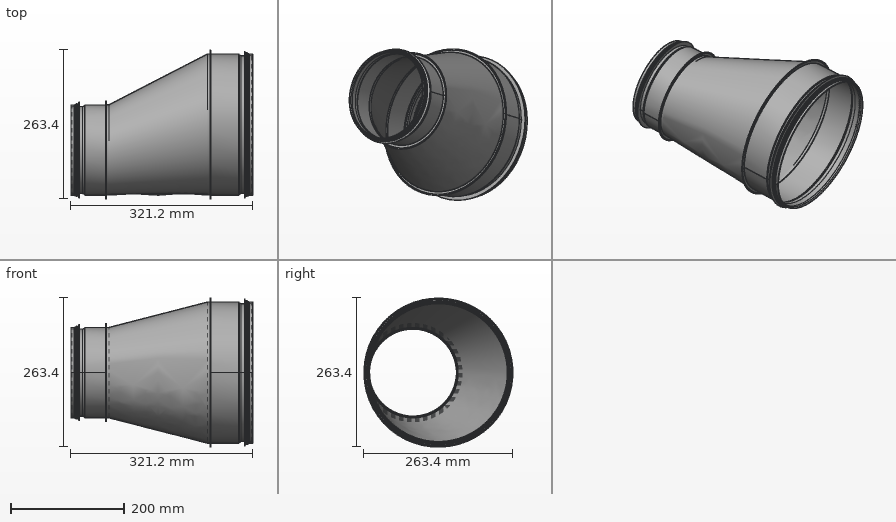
import cadquery as cq

LENGTH = 321.2
SMALL_JOINT_X = 62.0
LARGE_JOINT_X = 246.7

SMALL_RADIUS = 80.0
LARGE_RADIUS = 125.0
SMALL_AXIS_Y = SMALL_RADIUS - LARGE_RADIUS
SHEET = 0.48

FLANGE_HEIGHT = 6.7
HEM_HEIGHT = 4.2
HEM_CHAMFER = 0.3
CONE_STUB = 5.0

RIM_LENGTH = 5.8
RIM_THICKNESS = 3.0
RIM_CHAMFER = 0.5
LEAD_IN_LENGTH = 2.2
LEAD_IN_DEPTH = 1.3
TAPER_END = 8.5
GROOVE_DEPTH = 3.0
GROOVE_END = 21.0
BEND_X = 23.8
BEND_DEPTH = 1.5
WALL_START = 25.0
SLIT_ANGLE = 0.1

SHOULDER_DEPTH = 1.0
BASE_START = 7.7
BASE_HEIGHT = 1.0
GASKET_END = 15.0
LOW_LIP_HEIGHT = 2.2
LOW_LIP_START = 9.0
LOW_LIP_END = 11.0
HIGH_LIP_HEIGHT = 4.65
HIGH_LIP_START = 12.5
LIP_TIP = 1.0


def ring(profile, axis_y, end_x, inward, gap_angle=0):
    """Revolve (distance from the open end, radius) points about a pipe axis parallel to X.

    A gap angle leaves the ring open, with the gap centred on its -Y side.
    """
    points = [(end_x + inward * distance, axis_y - radius) for distance, radius in profile]
    axis_start = (0, axis_y, 0)
    axis_end = (1, axis_y, 0)
    body = cq.Workplane("XY").polyline(points).close().revolve(360 - gap_angle, axis_start, axis_end)
    return body.rotate(axis_start, axis_end, gap_angle / 2)


def make_collar(pipe_radius, joint, axis_y, end_x, inward):
    """Sheet collar with a folded rim, a gasket groove, a hemmed joint flange and a butt seam."""
    inner = pipe_radius - SHEET
    groove = pipe_radius - GROOVE_DEPTH
    rim_inner = pipe_radius - RIM_THICKNESS
    bend = pipe_radius - BEND_DEPTH
    flange = pipe_radius + FLANGE_HEIGHT
    hem_edge = pipe_radius + HEM_HEIGHT
    flange_face = joint - SHEET
    hem_inner_face = joint + SHEET
    hem_face = hem_inner_face + SHEET
    profile = [
        (0, rim_inner + LEAD_IN_DEPTH),
        (0, pipe_radius - RIM_CHAMFER),
        (RIM_CHAMFER, pipe_radius),
        (RIM_LENGTH, pipe_radius),
        (RIM_LENGTH, groove),
        (GROOVE_END, groove),
        (BEND_X, bend),
        (WALL_START, pipe_radius),
        (flange_face, pipe_radius),
        (flange_face, flange - HEM_CHAMFER),
        (flange_face + HEM_CHAMFER, flange),
        (hem_face - HEM_CHAMFER, flange),
        (hem_face, flange - HEM_CHAMFER),
        (hem_face, hem_edge),
        (hem_inner_face, hem_edge),
        (hem_inner_face, flange - SHEET),
        (joint, flange - SHEET),
        (joint, inner),
        (WALL_START, inner),
        (BEND_X, bend - SHEET),
        (GROOVE_END, groove - SHEET),
        (TAPER_END, groove - SHEET),
        (LEAD_IN_LENGTH, rim_inner),
    ]
    return ring(profile, axis_y, end_x, inward, SLIT_ANGLE)


def make_gasket(pipe_radius, axis_y, end_x, inward):
    """Sealing ring with two lips, seated in the collar groove."""
    groove = pipe_radius - GROOVE_DEPTH
    shoulder = pipe_radius - SHOULDER_DEPTH
    base = pipe_radius + BASE_HEIGHT
    low_tip = pipe_radius + LOW_LIP_HEIGHT
    high_tip = pipe_radius + HIGH_LIP_HEIGHT
    profile = [
        (RIM_LENGTH, groove),
        (RIM_LENGTH, shoulder),
        (BASE_START, shoulder),
        (BASE_START, base),
        (LOW_LIP_START, base),
        (LOW_LIP_END - LIP_TIP, low_tip),
        (LOW_LIP_END, low_tip),
        (LOW_LIP_END, base),
        (HIGH_LIP_START, base),
        (GASKET_END - LIP_TIP, high_tip),
        (GASKET_END, high_tip),
        (GASKET_END, groove),
    ]
    return ring(profile, axis_y, end_x, inward)


def disc(x, radius, axis_y, thickness):
    return cq.Workplane("YZ", origin=(x, axis_y, 0)).circle(radius).extrude(thickness)


def cone_body(inset):
    """Solid eccentric taper with its two straight stubs, shrunk radially by inset."""
    taper_start = SMALL_JOINT_X + CONE_STUB
    taper_end = LARGE_JOINT_X - CONE_STUB
    taper = (
        cq.Workplane("YZ", origin=(taper_start, 0, 0))
        .center(SMALL_AXIS_Y, 0)
        .circle(SMALL_RADIUS - inset)
        .workplane(offset=taper_end - taper_start)
        .center(-SMALL_AXIS_Y, 0)
        .circle(LARGE_RADIUS - inset)
        .loft(ruled=True)
    )
    small_stub = disc(SMALL_JOINT_X, SMALL_RADIUS - inset, SMALL_AXIS_Y, CONE_STUB)
    large_stub = disc(taper_end, LARGE_RADIUS - inset, 0, CONE_STUB)
    return taper.union(small_stub).union(large_stub)


def make_cone():
    """Hollow eccentric cone with a joint flange at each end."""
    height = FLANGE_HEIGHT - SHEET
    small_flange = disc(SMALL_JOINT_X, SMALL_RADIUS + height, SMALL_AXIS_Y, SHEET)
    large_flange = disc(LARGE_JOINT_X, LARGE_RADIUS + height, 0, -SHEET)
    return cone_body(0).union(small_flange).union(large_flange).cut(cone_body(SHEET))


small_end = (SMALL_AXIS_Y, 0, 1)
large_end = (0, LENGTH, -1)

small_collar = make_collar(SMALL_RADIUS, SMALL_JOINT_X, *small_end)
large_collar = make_collar(LARGE_RADIUS, LENGTH - LARGE_JOINT_X, *large_end)
small_gasket = make_gasket(SMALL_RADIUS, *small_end)
large_gasket = make_gasket(LARGE_RADIUS, *large_end)
cone = make_cone()

bodies = [small_collar, small_gasket, cone, large_collar, large_gasket]
result = cq.Compound.makeCompound([body.solids().val() for body in bodies])